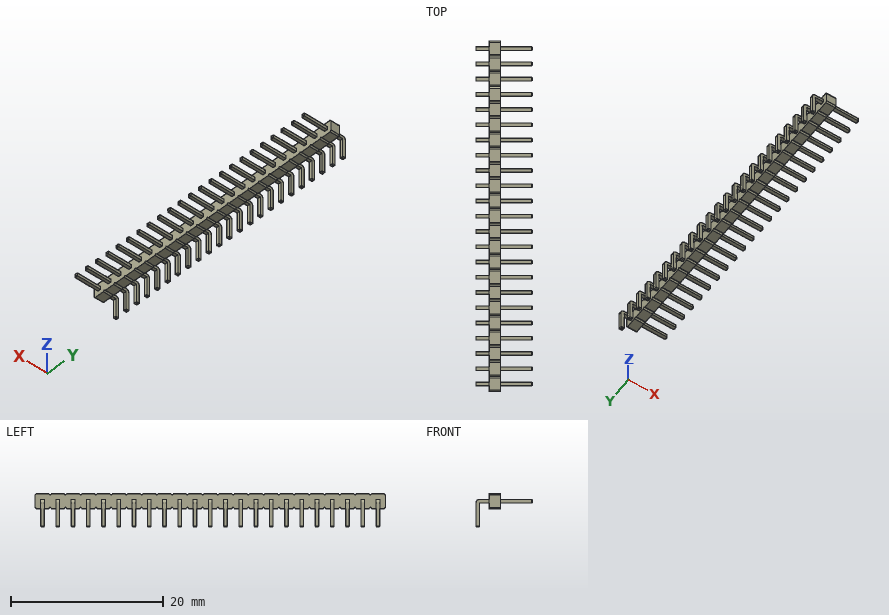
import cadquery as cq


pin_count = 23
pitch = 2.0

housing_width = 1.5
housing_height = 2.0
housing_chamfer = 0.2

pin_thickness = 0.5
pin_length = 7.45
pin_drop = 3.4
bend_radius = 0.5
tip_chamfer = pin_thickness / 4
leg_to_housing = 1.75

leg_outer_x = -pin_thickness / 2
housing_x = leg_outer_x + leg_to_housing + housing_width / 2


def housing_unit(y):
    """One pin's housing block, chamfered along X so neighbours meet at V-notches."""
    block = cq.Workplane("XY").box(housing_width, pitch, housing_height)
    return block.edges("|X").chamfer(housing_chamfer).translate((housing_x, y, 0))


def bent_pin(y):
    """Square L-shaped pin with a rounded outer bend and chamfered tips."""
    pin = (
        cq.Workplane("XZ")
        .moveTo(leg_outer_x, pin_thickness / 2)
        .lineTo(leg_outer_x + pin_length, pin_thickness / 2)
        .lineTo(leg_outer_x + pin_length, -pin_thickness / 2)
        .lineTo(pin_thickness / 2, -pin_thickness / 2)
        .lineTo(pin_thickness / 2, -pin_drop)
        .lineTo(leg_outer_x, -pin_drop)
        .close()
        .extrude(pin_thickness / 2, both=True)
    )
    pin = pin.faces(">X").chamfer(tip_chamfer)
    pin = pin.faces("<Z").chamfer(tip_chamfer)
    pin = pin.faces("<X").edges(">Z").fillet(bend_radius)
    return pin.translate((0, y, 0))


pin_positions = [(i - (pin_count - 1) / 2) * pitch for i in range(pin_count)]

result = housing_unit(pin_positions[0])
for y in pin_positions[1:]:
    result = result.union(housing_unit(y))
for y in pin_positions:
    result = result.union(bent_pin(y))